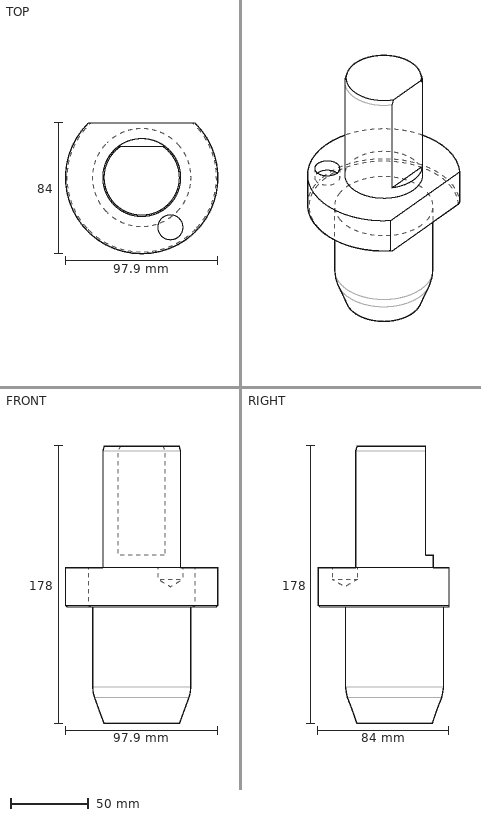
import cadquery as cq
import math

total_height = 178
flange_top = 100.0
flange_thickness = 25.3
flange_bottom = flange_top - flange_thickness

shank_diameter = 50.0
flange_diameter = 97.9
pin_diameter = 63.0

shank_taper_height = 3.2
shank_taper_inset = 0.9
flange_chamfer = 1.0
tip_fillet = 0.9

tip_height = 20.0
tip_half_angle = 20
tip_blend_radius = 20.0

flange_flat_offset = 35.0
shank_flat_offset = 20.0
shank_flat_bottom = flange_top + 8.0

hole_diameter = 16
hole_depth = 7.5
hole_circle_radius = 36.8
hole_angle = -60
drill_point_angle = 118


def shank():
    body = cq.Workplane("XY").workplane(offset=flange_top).circle(shank_diameter / 2)
    body = body.extrude(total_height - flange_top)
    return body.faces(">Z").chamfer(shank_taper_height, shank_taper_inset)


def flange():
    body = cq.Workplane("XY").workplane(offset=flange_bottom).circle(flange_diameter / 2)
    return body.extrude(flange_thickness).faces("<Z").chamfer(flange_chamfer)


def pin():
    radius = pin_diameter / 2
    tip_radius = radius - tip_height * math.tan(math.radians(tip_half_angle))
    body = (
        cq.Workplane("XZ")
        .moveTo(0, 0)
        .lineTo(tip_radius, 0)
        .lineTo(radius, tip_height)
        .lineTo(radius, flange_bottom)
        .lineTo(0, flange_bottom)
        .close()
        .revolve(360, (0, 0), (0, 1))
    )
    body = body.edges(cq.NearestToPointSelector((0, 0, tip_height))).fillet(tip_blend_radius)
    return body.faces("<Z").edges().fillet(tip_fillet)


def flat_cutter(offset, bottom, top):
    """Block that removes everything beyond y = offset between two heights."""
    size = flange_diameter
    return cq.Workplane("XY").box(size, size, top - bottom, centered=(True, False, False)).translate(
        (0, offset, bottom)
    )


def drilled_hole():
    """Cylinder with a conical drill point, standing in the flange's top face."""
    radius = hole_diameter / 2
    point_depth = radius / math.tan(math.radians(drill_point_angle / 2))
    angle = math.radians(hole_angle)
    center = (hole_circle_radius * math.cos(angle), hole_circle_radius * math.sin(angle), flange_top)
    return (
        cq.Workplane("XZ")
        .polyline([(0, 0), (radius, 0), (radius, -hole_depth), (0, -hole_depth - point_depth)])
        .close()
        .revolve(360, (0, 0), (0, 1))
        .translate(center)
    )


result = (
    flange()
    .union(shank())
    .union(pin())
    .cut(flat_cutter(flange_flat_offset, flange_bottom, flange_top))
    .cut(flat_cutter(shank_flat_offset, shank_flat_bottom, total_height))
    .cut(drilled_hole())
)